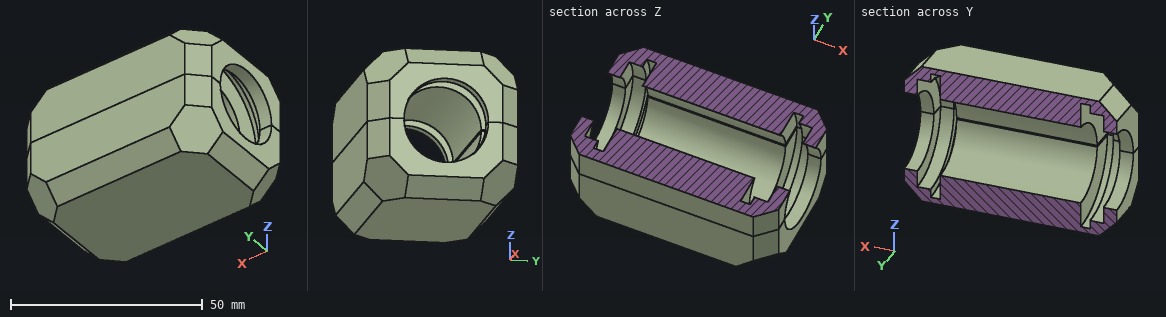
import cadquery as cq
import math

length = 60.0
width = 40.0
height = width
edge_chamfer = 5.0
corner_inset = 3 * edge_chamfer

bore_diameter = 22.4
end_wall = 3.8
outer_groove_diameter = 31.7
outer_groove_width = 3.8
inner_groove_diameter = 36.4
inner_groove_width = 2.65
core_length = length - 2 * (end_wall + outer_groove_width + inner_groove_width)

parting_chamfer = 0.2


def corner_cutter(side_x, side_y, side_z):
    """Block whose base lies on the facet that cuts one corner of the housing."""
    corner = cq.Vector(side_x * length / 2, side_y * width / 2, side_z * height / 2)
    outward = cq.Vector(side_x, side_y, side_z).normalized()
    facet_center = corner - outward * (corner_inset / math.sqrt(3))
    facet_plane = cq.Plane(origin=facet_center, normal=outward)
    cutter_side = 3 * corner_inset
    return cq.Workplane(facet_plane).rect(cutter_side, cutter_side).extrude(corner_inset)


def outer_block():
    """Box with every edge chamfered and every corner cut to a hexagonal facet."""
    block = cq.Workplane("XY").box(length, width, height).edges().chamfer(edge_chamfer)
    for side_x in (-1, 1):
        for side_y in (-1, 1):
            for side_z in (-1, 1):
                block = block.cut(corner_cutter(side_x, side_y, side_z))
    return block


def disc(diameter, start_x, thickness):
    """Cylinder along +X that starts at start_x."""
    return cq.Workplane("YZ").workplane(offset=start_x).circle(diameter / 2).extrude(thickness)


def stepped_groove():
    """Two adjoining ring grooves behind the -X end wall, the wider one deeper inside."""
    outer_start = -length / 2 + end_wall
    inner_start = outer_start + outer_groove_width
    outer_groove = disc(outer_groove_diameter, outer_start, outer_groove_width)
    inner_groove = disc(inner_groove_diameter, inner_start, inner_groove_width)
    return outer_groove.union(inner_groove)


def cavity():
    """Through bore with a stepped groove behind each end wall, mirrored about X = 0."""
    bore = disc(bore_diameter, -length / 2, length)
    groove = stepped_groove()
    return bore.union(groove).union(groove.mirror("YZ"))


def bevel_bar(bar_length):
    """Square bar along X, turned 45 degrees, that bevels the edges on both sides of Z = 0."""
    bar_side = parting_chamfer * math.sqrt(2)
    bar = cq.Workplane("XY").box(bar_length, bar_side, bar_side)
    return bar.rotate((0, 0, 0), (1, 0, 0), 45)


def parting_bevels():
    """Bars on the parting edges of the core: two along the bore, two along each shoulder."""
    shoulder_x = core_length / 2
    bore_radius = bore_diameter / 2
    groove_radius = inner_groove_diameter / 2
    shoulder_length = groove_radius - bore_radius
    bore_bar = bevel_bar(core_length)
    shoulder_bar = bevel_bar(shoulder_length).rotate((0, 0, 0), (0, 0, 1), 90)
    bars = cq.Workplane("XY")
    for side_y in (-1, 1):
        bars = bars.add(bore_bar.translate((0, side_y * bore_radius, 0)))
        shoulder_y = side_y * (bore_radius + groove_radius) / 2
        for side_x in (-1, 1):
            bars = bars.add(shoulder_bar.translate((side_x * shoulder_x, shoulder_y, 0)))
    return bars.combine()


def half_housing(side_z):
    """Half of the housing above (side_z = 1) or below (side_z = -1) the parting plane Z = 0."""
    half_space = cq.Workplane("XY").box(length, width, height / 2)
    half_space = half_space.translate((0, 0, side_z * height / 4))
    return outer_block().cut(cavity()).cut(parting_bevels()).intersect(half_space)


upper_half = half_housing(1)
lower_half = half_housing(-1)

result = cq.Compound.makeCompound([upper_half.val(), lower_half.val()])